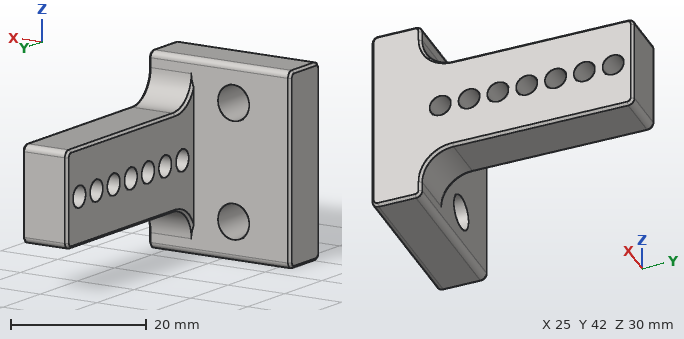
import cadquery as cq

width = 25.0
length = 42.0
height = 30.0

wall = 8.0
arm_height = 15.0
web_radius = 5.0
corner_radius = 1.0
edge_chamfer = 0.4

mount_diameter = 5.5
mount_pitch = 17.98
mount_x = 10.0

row_diameter = 3.4
row_count = 7
row_pitch = 4.6
row_end_distance = 3.25

arm_x = width - wall


def make_plate():
    return (
        cq.Workplane("YZ")
        .center(wall / 2, 0)
        .rect(wall, height)
        .extrude(width - edge_chamfer)
        .edges("|X")
        .fillet(corner_radius)
        .faces("<X")
        .chamfer(edge_chamfer)
    )


def block(y_length, z_height):
    """Box of wall thickness in the X range of the arm, starting at Y = 0."""
    return (
        cq.Workplane("YZ", origin=(arm_x, y_length / 2, 0))
        .rect(y_length, z_height)
        .extrude(wall)
    )


def make_t_slab():
    """Arm with its web fillets and the end of the plate it grows from."""
    slab = block(wall, height).union(block(length, arm_height))

    margin = 0.4
    half_z = arm_height / 2 + margin
    inner_corners = cq.selectors.BoxSelector(
        (arm_x, wall - margin, -half_z),
        (width, wall + margin, half_z),
    )
    slab = slab.edges(inner_corners).fillet(web_radius)

    for side in ("<Z", ">Z"):
        slab = slab.faces(side).edges("|X").fillet(corner_radius)
    slab = slab.faces(">Y").edges("|X").fillet(corner_radius)
    return slab.faces("<X or >X").chamfer(edge_chamfer)


def mount_holes():
    return (
        cq.Workplane("XZ")
        .pushPoints([(mount_x, -mount_pitch / 2), (mount_x, mount_pitch / 2)])
        .circle(mount_diameter / 2)
        .extrude(-wall)
    )


def row_holes():
    last_y = length - row_end_distance
    centers = [(last_y - i * row_pitch, 0) for i in range(row_count)]
    return (
        cq.Workplane("YZ", origin=(arm_x, 0, 0))
        .pushPoints(centers)
        .circle(row_diameter / 2)
        .extrude(wall)
    )


body = make_plate().union(make_t_slab())
result = body.cut(mount_holes()).cut(row_holes())